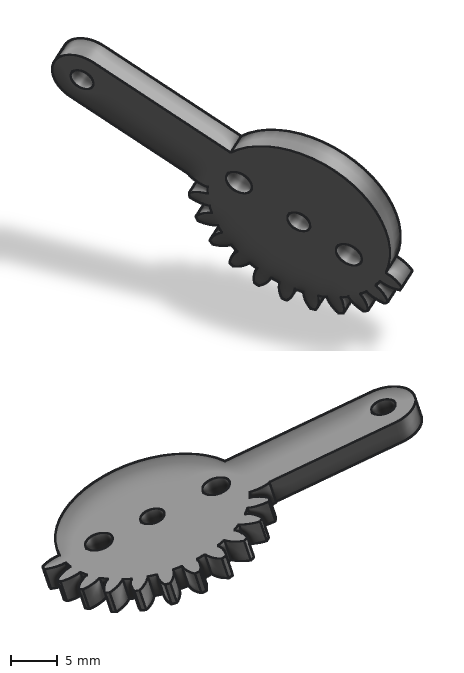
import cadquery as cq
import math

overall_length = 41.15

thickness = 2.67
root_radius = 10.75
pitch_radius = 12.0
tip_radius = 13.0

teeth_in_full_gear = 24
tooth_pitch = 360 / teeth_in_full_gear
tooth_count = 12
first_tooth_angle = 172.5
root_half_angle = 4.8
pitch_half_angle = 3.6
tip_half_angle = 1.3

arm_angle = 157.5
arm_end_radius = 3.55
last_tooth_angle = first_tooth_angle + (tooth_count - 1) * tooth_pitch
last_tooth_reach = tip_radius * math.cos(math.radians(last_tooth_angle + tip_half_angle))
arm_reach = overall_length - last_tooth_reach - arm_end_radius
arm_length = -arm_reach / math.cos(math.radians(arm_angle))
pivot_hole_diameter = 2.67
side_hole_diameter = 3.05
arm_side_hole_distance = 7.6
far_side_hole_distance = 6.38


def polar(radius, angle):
    return (radius * math.cos(math.radians(angle)), radius * math.sin(math.radians(angle)))


def extrude(outline):
    return outline.extrude(thickness / 2, both=True)


def disc(radius, centre=(0, 0)):
    return extrude(cq.Workplane("XZ").center(*centre).circle(radius))


def make_tooth(angle):
    """Tooth with arched flanks, carried to the pivot so that it overlaps the hub."""
    outline = (
        cq.Workplane("XZ")
        .lineTo(*polar(root_radius, angle - root_half_angle))
        .threePointArc(
            polar(pitch_radius, angle - pitch_half_angle),
            polar(tip_radius, angle - tip_half_angle),
        )
        .threePointArc(polar(tip_radius, angle), polar(tip_radius, angle + tip_half_angle))
        .threePointArc(
            polar(pitch_radius, angle + pitch_half_angle),
            polar(root_radius, angle + root_half_angle),
        )
        .close()
    )
    return extrude(outline)


def make_arm():
    """Straight arm from the pivot to a rounded end."""
    bar = extrude(
        cq.Workplane("XZ")
        .transformed(rotate=(0, 0, arm_angle))
        .center(arm_length / 2, 0)
        .rect(arm_length, 2 * arm_end_radius)
    )
    return bar.union(disc(arm_end_radius, polar(arm_length, arm_angle)))


body = disc(root_radius).union(make_arm())
for index in range(tooth_count):
    body = body.union(make_tooth(first_tooth_angle + index * tooth_pitch))

holes = [
    (0, pivot_hole_diameter),
    (arm_length, pivot_hole_diameter),
    (arm_side_hole_distance, side_hole_diameter),
    (-far_side_hole_distance, side_hole_diameter),
]
for distance, diameter in holes:
    body = body.cut(disc(diameter / 2, polar(distance, arm_angle)))

result = body